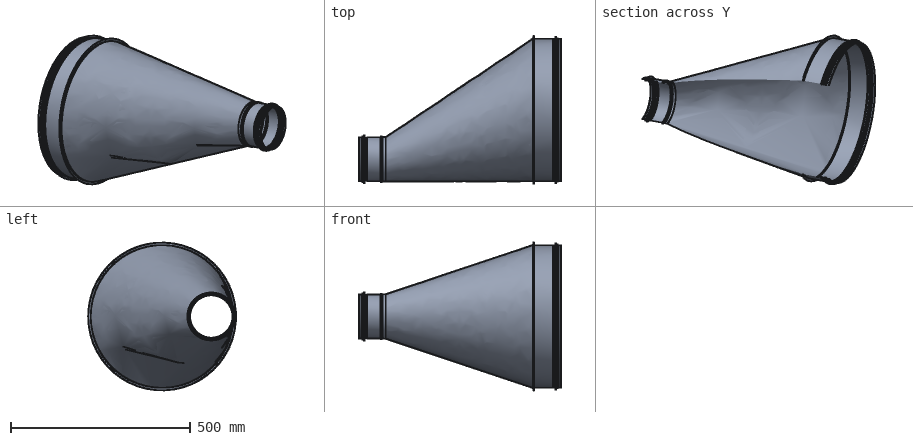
import cadquery as cq
import math

length = 565.2
sheet = 0.6

small_outer_dia = 124.05
small_rim_dia = 123.05
small_seat_dia = 119.05
large_outer_dia = 398.8
large_rim_dia = 397.8
large_seat_dia = 395.2
axis_offset = (large_outer_dia - small_outer_dia) / 2

rim_taper = 1.2
seat_start = 7.5
seat_end = 24.5
seat_ramp = 2.0

gasket_end = 21.5
gasket_band_thickness = 0.7
short_lip_start = 10.3
short_lip_thickness = 1.2
tall_lip_start = 14.5
tall_lip_thickness = 1.8
small_short_lip_dia = 129.45
small_tall_lip_dia = 134.45
large_short_lip_dia = 401.8
large_tall_lip_dia = 409.2

bead_start = 60.5
bead_width = 5.0
bead_ramp = 1.2
bead_dia = 127.6

small_sleeve_start = 67.5
cone_start = 76.0
cone_joint = 486.8

ring_dia = 413.26
ring_thickness = 2.4
ring_cove = 1.5
cone_end = cone_joint - ring_cove


def turned(profile, axis_y):
    """Revolve a closed (x, radius) profile about the line parallel to X at y = axis_y."""
    points = [(x, axis_y + radius) for x, radius in profile]
    outline = cq.Workplane("XY").polyline(points).close()
    return outline.revolve(360, (0, axis_y, 0), (1, axis_y, 0))


def seat_outline(outer_dia, rim_dia, seat_dia):
    """Outer (distance from the open end, radius) points of a collar's rim and gasket seat."""
    outer = outer_dia / 2
    seat = seat_dia / 2
    return [
        (0, rim_dia / 2),
        (rim_taper, outer),
        (seat_start, outer),
        (seat_start + seat_ramp, seat),
        (seat_end - seat_ramp, seat),
        (seat_end, outer),
    ]


def sheet_profile(outline):
    """Closed profile of a rolled sheet lying just inside an open outline."""
    inside = [(x, radius - sheet) for x, radius in reversed(outline)]
    return outline + inside


def gasket_profile(seat_dia, short_lip_dia, tall_lip_dia):
    """Closed profile of a rubber gasket with two lips."""
    seat = seat_dia / 2
    band = seat + gasket_band_thickness
    start = seat_start + seat_ramp
    short_lip_end = short_lip_start + short_lip_thickness
    tall_lip_end = tall_lip_start + tall_lip_thickness
    return [
        (start, seat),
        (start, band),
        (short_lip_start, band),
        (short_lip_start, short_lip_dia / 2),
        (short_lip_end, short_lip_dia / 2),
        (short_lip_end, band),
        (tall_lip_start, band),
        (tall_lip_start, tall_lip_dia / 2),
        (tall_lip_end, tall_lip_dia / 2),
        (tall_lip_end, band),
        (gasket_end, band),
        (gasket_end, seat),
    ]


def from_large_end(profile):
    """Turn distances from the large open end into X positions."""
    return [(length - x, radius) for x, radius in profile]


def oblique_cone(small_radius, large_radius):
    """Solid between the small and the large circle, with straight sides and a seam on the -Z side."""
    small_end = cq.Plane(origin=(cone_start, -axis_offset, 0), xDir=(0, 0, -1), normal=(1, 0, 0))
    return (
        cq.Workplane(small_end)
        .circle(small_radius)
        .workplane(offset=cone_end - cone_start)
        .center(0, axis_offset)
        .circle(large_radius)
        .loft(ruled=True)
    )


def sleeve(start, end, outer_radius, axis_y):
    """Straight sheet tube."""
    return turned(sheet_profile([(start, outer_radius), (end, outer_radius)]), axis_y)


small_radius = small_outer_dia / 2
bead_end = bead_start + bead_width
small_collar_outline = seat_outline(small_outer_dia, small_rim_dia, small_seat_dia) + [
    (bead_start, small_radius),
    (bead_start + bead_ramp, bead_dia / 2),
    (bead_end - bead_ramp, bead_dia / 2),
    (bead_end, small_radius),
    (cone_start, small_radius),
]
small_collar = turned(sheet_profile(small_collar_outline), -axis_offset)

large_radius = large_outer_dia / 2
large_collar_outline = seat_outline(large_outer_dia, large_rim_dia, large_seat_dia) + [
    (length - cone_joint, large_radius)
]
large_collar = turned(from_large_end(sheet_profile(large_collar_outline)), 0)

small_gasket = turned(
    gasket_profile(small_seat_dia, small_short_lip_dia, small_tall_lip_dia),
    -axis_offset,
)
large_gasket_profile = gasket_profile(large_seat_dia, large_short_lip_dia, large_tall_lip_dia)
large_gasket = turned(from_large_end(large_gasket_profile), 0)

small_sleeve_radius = small_radius + sheet
cone = (
    oblique_cone(small_sleeve_radius, large_radius)
    .cut(oblique_cone(small_radius, large_radius - sheet))
    .union(sleeve(small_sleeve_start, cone_start, small_sleeve_radius, -axis_offset))
    .union(sleeve(cone_end, cone_joint, large_radius, 0))
)

ring_end = cone_joint + ring_thickness
ring_middle = cone_joint + ring_thickness / 2
rim_start_radius = ring_dia / 2 - ring_thickness / 2
cove_centre = (cone_end, large_radius + ring_cove)
cove_middle = (
    cove_centre[0] + ring_cove * math.sin(math.pi / 4),
    cove_centre[1] - ring_cove * math.cos(math.pi / 4),
)
joint_ring = (
    cq.Workplane("XY")
    .moveTo(ring_end, large_radius)
    .lineTo(cone_end, large_radius)
    .threePointArc(cove_middle, (cone_joint, large_radius + ring_cove))
    .lineTo(cone_joint, rim_start_radius)
    .threePointArc((ring_middle, ring_dia / 2), (ring_end, rim_start_radius))
    .close()
    .revolve(360, (0, 0, 0), (1, 0, 0))
)

result = cq.Compound.makeCompound(
    [
        small_collar.val(),
        small_gasket.val(),
        cone.val(),
        large_collar.val(),
        large_gasket.val(),
        joint_ring.val(),
    ]
)